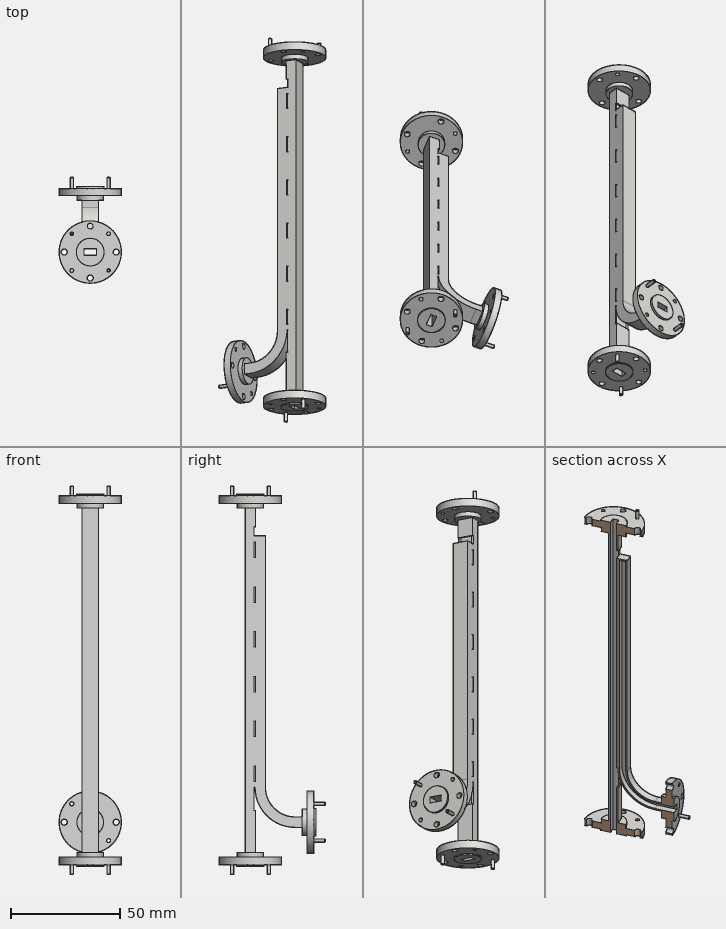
import cadquery as cq
import math

bore_width = 5.69
bore_height = 2.84
wall = 1.016
tube_width = bore_width + 2 * wall
tube_height = bore_height + 2 * wall

flange_diameter = 28.6
face_to_back = 4.3
boss_diameter = 12.7
collar_diameter = 12.2
collar_length = 2.1
hole_circle_radius = 11.9
bolt_hole_diameter = 2.65
pin_diameter = 1.6
pin_hole_diameter = 1.75
pin_tip_chamfer = 0.3

main_boss_height = 0.6
main_pin_length = 3.8
branch_boss_height = 1.05
branch_pin_length = 4.2

total_height = 178.0
total_depth = 48.62
main_face_z = total_height / 2 - main_pin_length
branch_face_y = total_depth - flange_diameter / 2 - branch_pin_length

recess_floor_y = 1.7
recess_top_z = 70.2
recess_bottom_z = -59.6
branch_axis_y = 4.5
branch_top_z = 66.2
bend_start_z = -49.02
bend_radius = 16.0
branch_outlet_z = bend_start_z - bend_radius
bend_end_y = branch_axis_y + bend_radius

slit_count = 6
slit_pitch = 20.5
slit_length = 7.1
slit_height = 0.55
slit_depth = wall
first_slit_z = 59.7


def cylinder(diameter, z_low, z_high):
    """Cylinder about Z between two heights."""
    return cq.Workplane("XY").workplane(offset=z_low).circle(diameter / 2).extrude(z_high - z_low)


def polar_points(angles):
    """Points on the flange hole circle at the given angles in degrees."""
    return [
        (
            hole_circle_radius * math.cos(math.radians(angle)),
            hole_circle_radius * math.sin(math.radians(angle)),
        )
        for angle in angles
    ]


def make_flange(boss_height, pin_length):
    """Flange facing +Z with its boss face at z = 0 and the collar behind."""
    plate_front = -boss_height
    flange = cylinder(flange_diameter, -face_to_back, plate_front)
    bolt_holes = polar_points([0, 90, 180, 270])
    flange = flange.faces(">Z").workplane().pushPoints(bolt_holes).hole(bolt_hole_diameter)
    pin_holes = polar_points([45, 225])
    flange = flange.faces(">Z").workplane().pushPoints(pin_holes).hole(pin_hole_diameter)

    flange = flange.union(cylinder(boss_diameter, -face_to_back, 0))
    flange = flange.union(cylinder(collar_diameter, -face_to_back - collar_length, -face_to_back))
    pins = (
        cq.Workplane("XY")
        .workplane(offset=plate_front)
        .pushPoints(polar_points([135, 315]))
        .circle(pin_diameter / 2)
        .extrude(boss_height + pin_length)
        .faces(">Z")
        .chamfer(pin_tip_chamfer)
    )
    return flange.union(pins)


def make_main_tube():
    """Straight tube between the main flanges, relieved on its +Y side for the branch."""
    tube = cq.Workplane("XY").box(tube_width, tube_height, 2 * (main_face_z - face_to_back))
    recess = (
        cq.Workplane("XY")
        .workplane(offset=recess_bottom_z)
        .center(0, recess_floor_y + tube_height / 2)
        .rect(tube_width, tube_height)
        .extrude(recess_top_z - recess_bottom_z)
    )
    return tube.cut(recess)


def make_branch_run(width, height, top_z, end_y):
    """Rectangular run from top_z down, through the bend, then along +Y to end_y."""
    straight = (
        cq.Workplane("XY")
        .workplane(offset=bend_start_z)
        .center(0, branch_axis_y)
        .rect(width, height)
        .extrude(top_z - bend_start_z)
    )
    bend = (
        cq.Workplane("XY")
        .workplane(offset=bend_start_z)
        .center(0, branch_axis_y)
        .rect(width, height)
        .revolve(90, (-1, bend_radius, 0), (1, bend_radius, 0))
    )
    outlet = (
        cq.Workplane("XZ", origin=(0, bend_end_y, branch_outlet_z))
        .rect(width, height)
        .extrude(bend_end_y - end_y)
    )
    return straight.union(bend).union(outlet)


def make_joint_strip():
    """Strip that fills the gap between the branch straight and the recess floor."""
    strip_thickness = branch_axis_y - recess_floor_y
    return (
        cq.Workplane("XY")
        .workplane(offset=bend_start_z)
        .center(0, recess_floor_y + strip_thickness / 2)
        .rect(tube_width, strip_thickness)
        .extrude(branch_top_z - bend_start_z)
    )


def make_slits():
    """Two rows of thin blind slits, one from each X side, resting on the recess floor."""
    slit_x = (tube_width - slit_depth) / 2
    slit_centres = [
        (side * slit_x, recess_floor_y + slit_height / 2, first_slit_z - index * slit_pitch)
        for side in (-1, 1)
        for index in range(slit_count)
    ]
    return cq.Workplane("XY").pushPoints(slit_centres).box(slit_depth, slit_height, slit_length)


main_flange = make_flange(main_boss_height, main_pin_length)
top_flange = main_flange.translate((0, 0, main_face_z))
bottom_flange = main_flange.rotate((0, 0, 0), (1, 0, 0), 180).translate((0, 0, -main_face_z))
branch_flange = (
    make_flange(branch_boss_height, branch_pin_length)
    .rotate((0, 0, 0), (1, 0, 0), -90)
    .translate((0, branch_face_y, branch_outlet_z))
)

body = make_main_tube()
body = body.union(make_joint_strip())
body = body.union(make_branch_run(tube_width, tube_height, branch_top_z, branch_face_y - face_to_back))
body = body.cut(make_slits())
for flange in (top_flange, bottom_flange, branch_flange):
    body = body.union(flange)

main_bore = cq.Workplane("XY").box(bore_width, bore_height, 2 * main_face_z)
branch_bore = make_branch_run(bore_width, bore_height, branch_top_z - wall, branch_face_y)
result = body.cut(main_bore).cut(branch_bore)